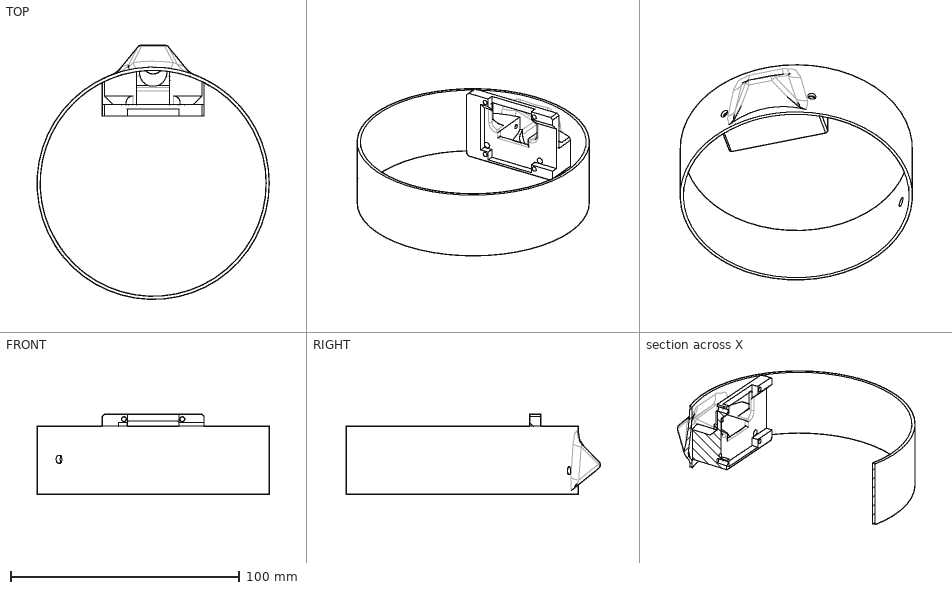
import cadquery as cq
import math

NEAR = 0.1

RING_OUTER_R = 101.9 / 2
RING_INNER_R = 99.0 / 2
RING_HEIGHT = 30.0
WALL = RING_OUTER_R - RING_INNER_R

BUMP_TIP_Y = 61.55
BUMP_TIP_Z = 12.8
BUMP_TIP_HALF_WIDTH = 5.6
BUMP_BASE_Y = 47.0
BUMP_BASE_TOP_Z = 27.5
BUMP_BASE_BOTTOM_Z = 1.0
BUMP_TOP_HALF_WIDTH = 13.0
BUMP_BOTTOM_HALF_WIDTH = 17.5
BUMP_EDGE_R = 2.0
BUMP_ROOT_R = 9.0
CAVITY_EDGE_R = 1.5
CAVITY_ROOT_R = 10.0

SIDE_HOLE_D = 3.5
SIDE_HOLE_Y = -29.8
SIDE_HOLE_Z = 15.4

FIXING_CLEARANCE_D = 3.5
FIXING_PILOT_D = 2.5
FIXING_HOLE_Z = 10.4
FIXING_HOLE_ANGLE = 23.0

MOUNT_WIDTH = 44.8
MOUNT_BOTTOM_Z = 4.19
MOUNT_TOP_Z = 35.19
MOUNT_CHAMFER = 1.0
HALF_WIDTH = MOUNT_WIDTH / 2

PLATE_FRONT_Y = 29.5
PLATE_THICKNESS = 5.0
PLATE_BACK_Y = PLATE_FRONT_Y + PLATE_THICKNESS

BLOCK_TOP_Z = 19.0
GUSSET = 3.8

RECESS_DEPTH = 3.0
RECESS_FLOOR_Y = PLATE_FRONT_Y + RECESS_DEPTH
RECESS_LEFT_X = -15.1
RECESS_BOTTOM_Z = 9.0
RECESS_TOP_Z = 31.5

NOTCH_WIDTH = 22.5
NOTCH_BOTTOM_Z = MOUNT_BOTTOM_Z + 1.0

WINDOW_WIDTH = 23.7
WINDOW_TOP_Z = MOUNT_TOP_Z - 3.0
WINDOW_CORNER_R = 3.0
WINDOW_CHAMFER = 1.0
WINDOW_LIP_R = 1.0

CHANNEL_WIDTH = 14.5
SILL_Z = 16.4
GROOVE_Y = 41.2
GROOVE_Z = 8.2
GROOVE_R = 1.1
SEAT_START_Y = 42.95
SEAT_START_Z = GROOVE_Z + SEAT_START_Y - GROOVE_Y
SEAT_ANGLE = 20.0
SEAT_END_Y = 47.15
SEAT_END_R = 4.0

LENS_BORE_D = 12.0
LENS_BORE_EDGE_Y = 42.6
LENS_BORE_LENGTH = 40.0

SCREW_HOLE_D = 2.0
SCREW_HOLE_X = 12.8
SCREW_HOLE_LOW_Z = 7.4
SCREW_HOLE_HIGH_Z = 33.0

CROSS_HOLE_D = 1.8
CROSS_HOLE_Y = 46.0
CROSS_HOLE_Z = 15.6
CROSS_HOLE_DEPTH = 4.0


def box(x0, x1, y0, y1, z0, z1):
    """Axis-aligned box between two corners."""
    return cq.Workplane("XY").box(x1 - x0, y1 - y0, z1 - z0, centered=False).translate((x0, y0, z0))


def side_prism(points, width):
    """Prism centred on X whose outline is given as (y, z) points."""
    return cq.Workplane("YZ").polyline(points).close().extrude(width / 2, both=True)


def front_prism(points, y0, y1):
    """Prism from y0 to y1 whose outline is given as (x, z) points."""
    return cq.Workplane("XZ", origin=(0, y0, 0)).polyline(points).close().extrude(y0 - y1)


def y_hole(diameter, x, z, y0, y1):
    """Cylinder along Y from y0 to y1."""
    return cq.Workplane("XZ", origin=(x, y0, z)).circle(diameter / 2).extrude(y0 - y1)


def fixing_holes(diameter, start_y):
    """Radial cylinders through the ring, each starting at a given Y."""
    angle = math.radians(FIXING_HOLE_ANGLE)
    tools = cq.Workplane("XY")
    for side in (-1, 1):
        direction = cq.Vector(side * math.sin(angle), math.cos(angle), 0)
        start = direction * (start_y / math.cos(angle)) + cq.Vector(0, 0, FIXING_HOLE_Z)
        tools = tools.add(cq.Solid.makeCylinder(diameter / 2, RING_OUTER_R, start, direction))
    return tools.combine()


class WedgeRoot(cq.Selector):
    """Picks the edges where the wedge meets the disc's round wall, leaving out the disc's own rims."""

    def __init__(self, radius):
        self.radius = radius

    def filter(self, edges):
        return [edge for edge in edges if self.is_root(edge)]

    def is_root(self, edge):
        middle = edge.Center()
        between_rims = NEAR < middle.z < RING_HEIGHT - NEAR
        on_wall = all(self.is_on_wall(edge.positionAt(t)) for t in (0, 0.3, 0.7, 1))
        return on_wall and between_rims and middle.y > self.radius / 2

    def is_on_wall(self, point):
        return abs(math.hypot(point.x, point.y) - self.radius) < NEAR / 100


def wedge_profile(inset):
    """Tip Y, top Z and bottom Z of the wedge, moved inwards at right angles to 45 degree faces."""
    shift = inset * math.sqrt(2)
    return BUMP_TIP_Y - shift, BUMP_BASE_TOP_Z - shift, BUMP_BASE_BOTTOM_Z + shift


def wedge(inset):
    """Sharp-edged wedge with a horizontal tip edge, made smaller by about the inset on every face."""
    tip_y, top_z, bottom_z = wedge_profile(inset)
    tip_x = BUMP_TIP_HALF_WIDTH - inset / 2
    top_x = BUMP_TOP_HALF_WIDTH - inset / 2
    bottom_x = BUMP_BOTTOM_HALF_WIDTH - inset * math.sqrt(2)
    tips = [cq.Vector(s * tip_x, tip_y, BUMP_TIP_Z) for s in (-1, 1)]
    tops = [cq.Vector(s * top_x, BUMP_BASE_Y, top_z) for s in (-1, 1)]
    bottoms = [cq.Vector(s * bottom_x, BUMP_BASE_Y, bottom_z) for s in (-1, 1)]
    outlines = [
        [tips[0], tips[1], tops[1], tops[0]],
        [tips[0], tips[1], bottoms[1], bottoms[0]],
        [tops[0], tops[1], bottoms[1], bottoms[0]],
        [tips[0], tops[0], bottoms[0]],
        [tips[1], tops[1], bottoms[1]],
    ]
    faces = [cq.Face.makeFromWires(cq.Wire.makePolygon(points, close=True)) for points in outlines]
    return cq.Workplane(cq.Solid.makeSolid(cq.Shell.makeShell(faces)))


def under_wedge(inset):
    """Space below the wedge's lower face; cutting it keeps that face straight down to the ring."""
    tip_y, _, base_z = wedge_profile(inset)
    floor_z = base_z - RING_HEIGHT
    return side_prism(
        [(BUMP_BASE_Y, base_z), (tip_y, BUMP_TIP_Z), (tip_y, floor_z), (BUMP_BASE_Y, floor_z)],
        4 * BUMP_BOTTOM_HALF_WIDTH,
    )


def drum(radius, inset, edge_r, root_r):
    """Disc with the rounded wedge growing out of its +Y side, blended into the disc at its root."""
    outside_disc = cq.selectors.BoxSelector(
        (-RING_OUTER_R, RING_INNER_R, -RING_HEIGHT), (RING_OUTER_R, 2 * RING_OUTER_R, RING_HEIGHT)
    )
    rounded = wedge(inset).edges(outside_disc).fillet(edge_r)
    disc = cq.Workplane("XY").circle(radius).extrude(RING_HEIGHT)
    body = disc.union(rounded)
    blended = body.edges(WedgeRoot(radius)).fillet(root_r)
    return blended.cut(under_wedge(inset).cut(disc))


def build_ring():
    """Ring with the hollow bump, the cross hole and the clearance holes for fixing the mount."""
    outer = drum(RING_OUTER_R, 0, BUMP_EDGE_R, BUMP_ROOT_R)
    inner = drum(RING_INNER_R, WALL, CAVITY_EDGE_R, CAVITY_ROOT_R)
    side_hole = (
        cq.Workplane("YZ", origin=(-RING_OUTER_R, SIDE_HOLE_Y, SIDE_HOLE_Z))
        .circle(SIDE_HOLE_D / 2)
        .extrude(RING_OUTER_R)
    )
    return outer.cut(inner).cut(side_hole).cut(fixing_holes(FIXING_CLEARANCE_D, PLATE_BACK_Y))


def mount_blank():
    """Plate and block with a 45 degree gusset between them, ending on the ring's inner wall."""
    c = MOUNT_CHAMFER
    plate = (
        box(-HALF_WIDTH, HALF_WIDTH, PLATE_FRONT_Y, PLATE_BACK_Y, MOUNT_BOTTOM_Z, MOUNT_TOP_Z)
        .edges("|Y").chamfer(c)
    )
    block = side_prism(
        [
            (PLATE_BACK_Y, MOUNT_BOTTOM_Z),
            (RING_OUTER_R, MOUNT_BOTTOM_Z),
            (RING_OUTER_R, BLOCK_TOP_Z),
            (PLATE_BACK_Y + GUSSET, BLOCK_TOP_Z),
            (PLATE_BACK_Y, BLOCK_TOP_Z + GUSSET),
        ],
        MOUNT_WIDTH,
    )
    gusset_top = BLOCK_TOP_Z + GUSSET
    outline = front_prism(
        [
            (-HALF_WIDTH + c, MOUNT_BOTTOM_Z),
            (HALF_WIDTH - c, MOUNT_BOTTOM_Z),
            (HALF_WIDTH, MOUNT_BOTTOM_Z + c),
            (HALF_WIDTH, BLOCK_TOP_Z - c),
            (HALF_WIDTH - c - GUSSET, gusset_top),
            (-HALF_WIDTH + c + GUSSET, gusset_top),
            (-HALF_WIDTH, BLOCK_TOP_Z - c),
            (-HALF_WIDTH, MOUNT_BOTTOM_Z + c),
        ],
        PLATE_BACK_Y,
        RING_OUTER_R,
    )
    bore = cq.Workplane("XY").circle(RING_INNER_R).extrude(MOUNT_TOP_Z)
    return plate.union(block.intersect(outline).intersect(bore))


def recess():
    """Board recess with a sloping ceiling, and the notch across it."""
    pocket = side_prism(
        [
            (PLATE_FRONT_Y, RECESS_BOTTOM_Z),
            (RECESS_FLOOR_Y, RECESS_BOTTOM_Z),
            (RECESS_FLOOR_Y, RECESS_TOP_Z - RECESS_DEPTH),
            (PLATE_FRONT_Y, RECESS_TOP_Z),
        ],
        2 * MOUNT_WIDTH,
    ).intersect(box(RECESS_LEFT_X, HALF_WIDTH, 0, RING_OUTER_R, 0, MOUNT_TOP_Z))
    half_notch = NOTCH_WIDTH / 2
    notch = box(-half_notch, half_notch, PLATE_FRONT_Y, RECESS_FLOOR_Y, NOTCH_BOTTOM_Z, MOUNT_TOP_Z)
    return pocket.union(notch)


def window():
    """Window above the block, rounded at the bottom and chamfered at the top."""
    half = WINDOW_WIDTH / 2
    return (
        box(-half, half, RECESS_FLOOR_Y, RING_OUTER_R, BLOCK_TOP_Z, WINDOW_TOP_Z)
        .edges("|Y and <Z").fillet(WINDOW_CORNER_R)
        .edges("|Y and >Z").chamfer(WINDOW_CHAMFER)
    )


def channel():
    """Straight middle channel behind the window, down to the sill."""
    half = CHANNEL_WIDTH / 2
    return box(-half, half, RECESS_FLOOR_Y, RING_OUTER_R, SILL_Z, WINDOW_TOP_Z - WINDOW_CHAMFER)


def lens_seat():
    """Deep part of the channel: rounded 45 degree groove, shallow seat, curved rise at the ring."""
    angle = math.radians(SEAT_ANGLE)
    seat_end_z = SEAT_START_Z + (SEAT_END_Y - SEAT_START_Y) * math.tan(angle)
    rise_centre_y = SEAT_END_Y - SEAT_END_R * math.sin(angle)
    rise_centre_z = seat_end_z + SEAT_END_R * math.cos(angle)
    mid_angle = (angle + math.pi / 2) / 2
    rise_mid = (
        rise_centre_y + SEAT_END_R * math.sin(mid_angle),
        rise_centre_z - SEAT_END_R * math.cos(mid_angle),
    )
    top_z = BLOCK_TOP_Z + GUSSET
    half_groove = GROOVE_R * math.sin(math.pi / 4)
    groove_tangent_z = GROOVE_Z + half_groove
    groove_floor_z = GROOVE_Z + GROOVE_R * (math.sqrt(2) - 1)
    return (
        cq.Workplane("YZ")
        .moveTo(GROOVE_Y - (top_z - GROOVE_Z), top_z)
        .lineTo(GROOVE_Y - half_groove, groove_tangent_z)
        .threePointArc((GROOVE_Y, groove_floor_z), (GROOVE_Y + half_groove, groove_tangent_z))
        .lineTo(SEAT_START_Y, SEAT_START_Z)
        .lineTo(SEAT_END_Y, seat_end_z)
        .threePointArc(rise_mid, (rise_centre_y + SEAT_END_R, rise_centre_z))
        .lineTo(rise_centre_y + SEAT_END_R, top_z)
        .close()
        .extrude(CHANNEL_WIDTH / 2, both=True)
    )


def lens_bore():
    """Bore running down and outwards at 45 degrees from the lens seat."""
    across = cq.Vector(0, 1, 1).normalized()
    along = cq.Vector(0, 1, -1).normalized()
    edge = cq.Vector(0, LENS_BORE_EDGE_Y, GROOVE_Z + LENS_BORE_EDGE_Y - GROOVE_Y)
    start = edge + across * (LENS_BORE_D / 2) - along * (LENS_BORE_D / 2)
    return cq.Workplane(cq.Solid.makeCylinder(LENS_BORE_D / 2, LENS_BORE_LENGTH, start, along))


def build_mount():
    """Board and lens mount, resting against the inside of the ring."""
    mount = mount_blank().cut(recess()).cut(window()).cut(channel())
    half_lip = WINDOW_WIDTH / 2 + NEAR
    lip = cq.selectors.BoxSelector(
        (-half_lip, RECESS_FLOOR_Y - NEAR, SILL_Z - NEAR),
        (half_lip, RECESS_FLOOR_Y + NEAR, RECESS_TOP_Z - RECESS_DEPTH - NEAR),
    )
    mount = mount.edges(lip).fillet(WINDOW_LIP_R)
    mount = mount.cut(lens_seat()).cut(lens_bore())
    mount = mount.cut(fixing_holes(FIXING_PILOT_D, RECESS_FLOOR_Y - FIXING_PILOT_D / 2))
    for x in (-SCREW_HOLE_X, SCREW_HOLE_X):
        for z in (SCREW_HOLE_LOW_Z, SCREW_HOLE_HIGH_Z):
            mount = mount.cut(y_hole(SCREW_HOLE_D, x, z, PLATE_FRONT_Y, PLATE_BACK_Y))
    half_reach = CHANNEL_WIDTH / 2 + CROSS_HOLE_DEPTH
    cross_hole = (
        cq.Workplane("YZ", origin=(0, CROSS_HOLE_Y, CROSS_HOLE_Z))
        .circle(CROSS_HOLE_D / 2)
        .extrude(half_reach, both=True)
    )
    return mount.cut(cross_hole)


ring = build_ring()
mount = build_mount()
result = cq.Compound.makeCompound([ring.solids().val(), mount.solids().val()])